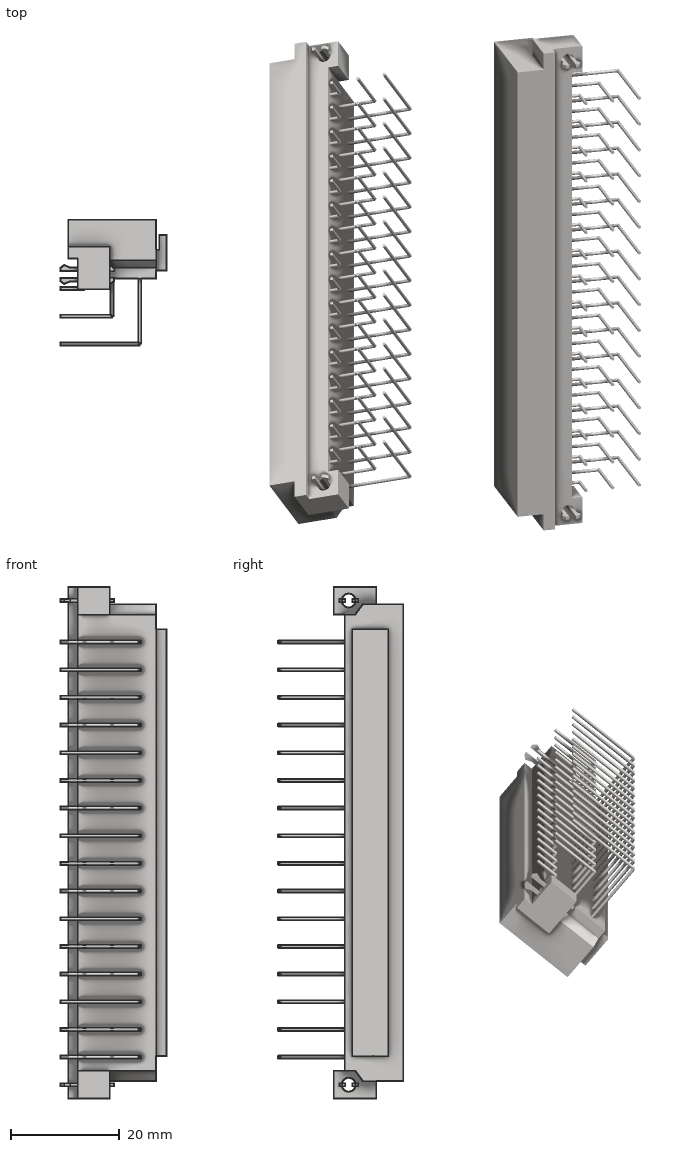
import cadquery as cq


total_length = 93.95
housing_length = 87.55
housing_rear_x = 1.45
step_x = 3.2
housing_front_x = 17.6
step_y = -7.15
housing_bottom_y = -10.8

end_slope_start_y = -7.45
end_slope_end_y = -8.85

block_length = 5.1
block_front_x = 9.1
block_top_y = -4.95
block_bottom_y = -12.8

tongue_length = 78.4
tongue_front_x = 19.55
tongue_top_y = -2.8
tongue_bottom_y = -9.35
relief_bottom_y = -5.5
relief_depth = 0.55

pin_diameter = 0.6
pin_radius = pin_diameter / 2
pin_pitch = 5.08
pins_per_row = 16
pin_shift_z = -1.27
first_bend_x = 4.43
outer_size_y = 23.1
last_bend_y = pin_radius - outer_size_y
row_count = 3
pin_embed = 1.0

hole_diameter = 2.5
hole_y = -10.05
hole_spacing = 88.9
clip_thickness = 0.6
clip_gap = 1.25
clip_embed = 0.05
clip_front_x = 9.9
clip_barb_x = 0.7
clip_barb_root_x = 1.8
clip_barb_half_width = 1.75
clip_tip_half_width = 1.2


def box(x_min, x_max, y_min, y_max, z_min, z_max):
    size = (x_max - x_min, y_max - y_min, z_max - z_min)
    return cq.Workplane("XY").box(*size, centered=False).translate((x_min, y_min, z_min))


def make_housing():
    """Extrude the end outline along X, then cut the lengthwise rear step."""
    half_top = housing_length / 2
    half_bottom = total_length / 2 - block_length
    outline = [
        (0, -half_top),
        (end_slope_start_y, -half_top),
        (end_slope_end_y, -half_bottom),
        (housing_bottom_y, -half_bottom),
        (housing_bottom_y, half_bottom),
        (end_slope_end_y, half_bottom),
        (end_slope_start_y, half_top),
        (0, half_top),
    ]
    depth = housing_front_x - housing_rear_x
    housing = cq.Workplane("YZ", origin=(housing_rear_x, 0, 0)).polyline(outline).close().extrude(depth)
    step = box(housing_rear_x, step_x, housing_bottom_y, step_y, -half_top, half_top)
    return housing.cut(step)


def make_block():
    """Stepped mounting block at the +Z end."""
    outline = [
        (housing_rear_x, block_top_y),
        (block_front_x, block_top_y),
        (block_front_x, block_bottom_y),
        (step_x, block_bottom_y),
        (step_x, step_y),
        (housing_rear_x, step_y),
    ]
    top_z = total_length / 2
    bottom_z = top_z - block_length
    return cq.Workplane("XY", origin=(0, 0, bottom_z)).polyline(outline).close().extrude(block_length)


def make_hole():
    """Round hole through the +Z mounting block, along X."""
    centre = (0, hole_y, hole_spacing / 2)
    return cq.Workplane("YZ", origin=centre).circle(hole_diameter / 2).extrude(block_front_x)


def make_clip():
    """Two flat prongs against opposite sides of the hole, barbed at both ends."""
    inner = clip_gap / 2
    outer = hole_diameter / 2 + clip_embed
    prong_outline = [
        (0, inner),
        (clip_front_x, inner),
        (clip_front_x, clip_tip_half_width),
        (block_front_x, clip_barb_half_width),
        (block_front_x, outer),
        (clip_barb_root_x, outer),
        (clip_barb_x, clip_barb_half_width),
        (0, clip_tip_half_width),
    ]
    prong = cq.Workplane("XY").polyline(prong_outline).close().extrude(clip_thickness / 2, both=True)
    return prong.union(prong.mirror("XZ")).translate((0, hole_y, hole_spacing / 2))


def make_tongue():
    """Long mating tongue, relieved against the housing along its +Y edge."""
    half = tongue_length / 2
    tongue = box(housing_front_x, tongue_front_x, tongue_bottom_y, tongue_top_y, -half, half)
    relief_x = housing_front_x + relief_depth
    relief = box(housing_front_x, relief_x, relief_bottom_y, tongue_top_y, -half, half)
    return tongue.cut(relief)


def make_pin(bend_x, bend_y):
    """Right-angle pin: a leg out of the housing and a tail to X = 0, rounded at the bend."""
    path = (
        cq.Workplane("XY")
        .moveTo(0, bend_y)
        .lineTo(bend_x, bend_y)
        .lineTo(bend_x, housing_bottom_y + pin_embed)
    )
    profile = cq.Workplane("YZ", origin=(0, bend_y, 0)).circle(pin_radius)
    return profile.sweep(path, transition="round")


def make_pins():
    pins = []
    for row in range(row_count):
        bend_x = first_bend_x + row * pin_pitch
        bend_y = last_bend_y + (row_count - 1 - row) * pin_pitch
        pin = make_pin(bend_x, bend_y).val()
        for index in range(pins_per_row):
            z = pin_shift_z + (index - (pins_per_row - 1) / 2) * pin_pitch
            pins.append(pin.translate(cq.Vector(0, 0, z)))
    return pins


body = make_housing().union(make_tongue())
block = make_block()
hole = make_hole()
clip = make_clip()
body = body.union(block).union(block.mirror("XY"))
body = body.cut(hole).cut(hole.mirror("XY"))
body = body.union(clip).union(clip.mirror("XY"))
result = cq.Workplane("XY").newObject([body.val().fuse(*make_pins())])